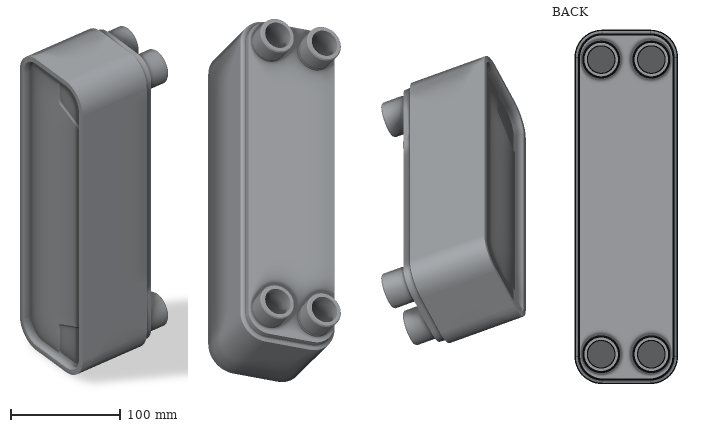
import cadquery as cq
import math


LENGTH = 324.0
WIDTH = 94.0
CORNER_RADIUS = 25.0
PACK_DEPTH = 74.5

RIM_WIDTH = 5.2
MOUTH_CHAMFER = 0.5
RECESS_DEPTH = 7.8
WALL_LEAN = 1.15

PAD_DEPTH = 1.3
PAD_SLOPE_WIDTH = 2.0
PAD_WALL_INSET = 0.3
PAD_INNER_X = 0.5
PAD_INNER_Z = 123.5
PAD_SLANT = 23.0
PAD_CORNER_RADIUS = 5.0
PAD_TIP_RADIUS = 2.5

END_PLATE_HEIGHT = 7.0
SKIRT_HEIGHT = 1.3
SKIRT_INSET = 3.2
FOOT_CHAMFER = 0.5
END_PLATE_TOP_INSET = 4.2

COVER_THICKNESS = 1.3

CONNECTOR_DIAMETER = 33.7
CONNECTOR_LENGTH = 24.0
CONNECTOR_X = 23.0
CONNECTOR_Z = 135.0
BORE_DIAMETER = 25.3
BORE_END_WALL = 0.5
TIP_CHAMFER_LENGTH = 1.3
TIP_CHAMFER_DEPTH = 1.0
GROOVE_START = 1.3
GROOVE_WIDTH = 2.5
GROOVE_DEPTH = 0.5

SIDES = (-1, 1)
MOUTH_INSET = RIM_WIDTH + MOUTH_CHAMFER
FLOOR_INSET = MOUTH_INSET + WALL_LEAN
END_PLATE_TOP = PACK_DEPTH + END_PLATE_HEIGHT
COVER_TOP = END_PLATE_TOP + COVER_THICKNESS
BORE_END = RECESS_DEPTH + PAD_DEPTH + BORE_END_WALL
PORTS = [(side_x * CONNECTOR_X, side_z * CONNECTOR_Z) for side_x in SIDES for side_z in SIDES]


def plane_at(y, x=0, z=0):
    """Plane facing +Y; its local axes are X and -Z."""
    return cq.Plane(origin=(x, y, z), xDir=(1, 0, 0), normal=(0, 1, 0))


def tapered_block(start_inset, start_y, end_inset, end_y):
    """Block along Y between two insets of the rounded outline."""
    height = end_y - start_y
    taper = math.degrees(math.atan2(end_inset - start_inset, height))
    section = cq.Sketch().rect(WIDTH - 2 * start_inset, LENGTH - 2 * start_inset)
    section = section.vertices().fillet(CORNER_RADIUS - start_inset)
    return cq.Workplane(plane_at(start_y)).placeSketch(section).extrude(height, taper=taper)


def cylinder(diameter, port, start_y, end_y):
    """Cylinder along Y on the axis of a port."""
    x, z = port
    return cq.Workplane(plane_at(start_y, x, z)).circle(diameter / 2).extrude(end_y - start_y)


def pad_section(slope_inset, wall_inset):
    """Outline of the lower pad in local axes X and -Z, its sloped and wall sides moved inwards."""
    left = PAD_INNER_X + slope_inset
    right = WIDTH / 2 - FLOOR_INSET - wall_inset
    end = LENGTH / 2 - FLOOR_INSET - wall_inset
    slant = math.radians(PAD_SLANT)
    left_start = PAD_INNER_Z - slope_inset * math.tan(slant) + slope_inset / math.cos(slant)
    tip = left_start - (right - left) * math.tan(slant)

    section = cq.Sketch().polygon(
        [(left, left_start), (right, tip), (right, end), (left, end), (left, left_start)]
    )
    section.vertices(">(1, 1, 0)").fillet(CORNER_RADIUS - FLOOR_INSET - wall_inset).reset()
    section.vertices("<(1, 1, 0)").fillet(PAD_CORNER_RADIUS).reset()
    section.vertices("<Y").fillet(PAD_TIP_RADIUS).reset()
    section.vertices(">(-1, 1, 0)").fillet(PAD_TIP_RADIUS).reset()
    return section


def make_pad_cutter():
    """Pad at the -Z end, narrowing from the recess floor to the pad bottom."""
    bottom = pad_section(PAD_SLOPE_WIDTH, PAD_WALL_INSET).moved(cq.Location(cq.Vector(0, 0, PAD_DEPTH)))
    return cq.Workplane(plane_at(RECESS_DEPTH)).placeSketch(pad_section(0, 0), bottom).loft(ruled=True)


def make_plate_pack():
    pack = tapered_block(0, 0, 0, PACK_DEPTH)
    pack = pack.cut(tapered_block(RIM_WIDTH, 0, MOUTH_INSET, MOUTH_CHAMFER))
    pack = pack.cut(tapered_block(MOUTH_INSET, MOUTH_CHAMFER, FLOOR_INSET, RECESS_DEPTH))
    lower_pad = make_pad_cutter()
    pack = pack.cut(lower_pad).cut(lower_pad.mirror("XY"))
    for port in PORTS:
        pack = pack.cut(cylinder(BORE_DIAMETER, port, BORE_END, PACK_DEPTH))
    return pack


def make_end_plate():
    skirt_top = PACK_DEPTH + SKIRT_HEIGHT
    foot_top = skirt_top + FOOT_CHAMFER
    foot_inset = SKIRT_INSET + FOOT_CHAMFER
    plate = tapered_block(0, PACK_DEPTH, SKIRT_INSET, skirt_top)
    plate = plate.union(tapered_block(SKIRT_INSET, skirt_top, foot_inset, foot_top))
    plate = plate.union(tapered_block(foot_inset, foot_top, END_PLATE_TOP_INSET, END_PLATE_TOP))
    for port in PORTS:
        plate = plate.cut(cylinder(BORE_DIAMETER, port, PACK_DEPTH, END_PLATE_TOP))
    return plate


def is_seated(port):
    """True where the connector passes the cover sheet and stands on the end plate."""
    return port[0] > 0


def make_cover_sheet():
    """Sheet with bores under the -X connectors and clearance for the seated +X connectors."""
    sheet = tapered_block(END_PLATE_TOP_INSET, END_PLATE_TOP, END_PLATE_TOP_INSET, COVER_TOP)
    for port in PORTS:
        hole_diameter = CONNECTOR_DIAMETER if is_seated(port) else BORE_DIAMETER
        sheet = sheet.cut(cylinder(hole_diameter, port, END_PLATE_TOP, COVER_TOP))
    return sheet


def make_connector(port):
    x, z = port
    bore_radius = BORE_DIAMETER / 2
    radius = CONNECTOR_DIAMETER / 2
    profile = [
        (bore_radius, 0),
        (radius, 0),
        (radius, GROOVE_START),
        (radius - GROOVE_DEPTH, GROOVE_START + GROOVE_WIDTH / 2),
        (radius, GROOVE_START + GROOVE_WIDTH),
        (radius, CONNECTOR_LENGTH - TIP_CHAMFER_LENGTH),
        (radius - TIP_CHAMFER_DEPTH, CONNECTOR_LENGTH),
        (bore_radius, CONNECTOR_LENGTH),
    ]
    connector = cq.Workplane("XY").polyline(profile).close().revolve(360, (0, 0, 0), (0, 1, 0))
    seat = END_PLATE_TOP if is_seated(port) else COVER_TOP
    return connector.translate((x, seat, z))


plate_pack = make_plate_pack()
end_plate = make_end_plate()
cover_sheet = make_cover_sheet()
connectors = [make_connector(port) for port in PORTS]

result = cq.Compound.makeCompound(
    [
        plate_pack.solids().val(),
        end_plate.solids().val(),
        cover_sheet.solids().val(),
        *[connector.val() for connector in connectors],
    ]
)